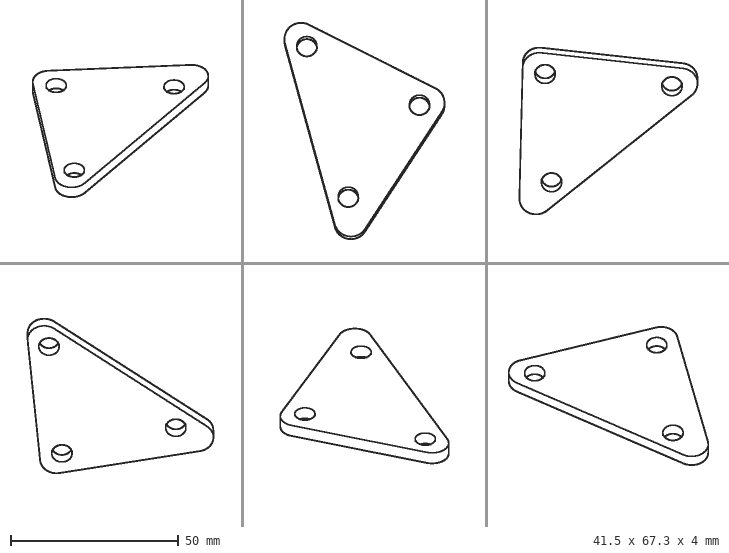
import cadquery as cq

width = 41.55
length = 67.35
thickness = 4.0
corner_radius = 5.0

hole_diameter = 6.05
right_hole_inset = 6.05
left_hole_inset = 7.6
upper_hole_y = 21.6
lower_hole_y = -26.1

corner_x = width / 2 - corner_radius
corner_y = length / 2 - corner_radius
corner_centers = [(-corner_x, 0), (corner_x, -corner_y), (corner_x, corner_y)]

plate = (
    cq.Workplane("XY")
    .polyline(corner_centers)
    .close()
    .offset2D(corner_radius, "arc")
    .extrude(thickness)
)

right_hole_x = width / 2 - right_hole_inset
hole_centers = [
    (-width / 2 + left_hole_inset, 0),
    (right_hole_x, upper_hole_y),
    (right_hole_x, lower_hole_y),
]
holes = (
    cq.Workplane("XY")
    .pushPoints(hole_centers)
    .circle(hole_diameter / 2)
    .extrude(thickness)
)

result = plate.cut(holes)